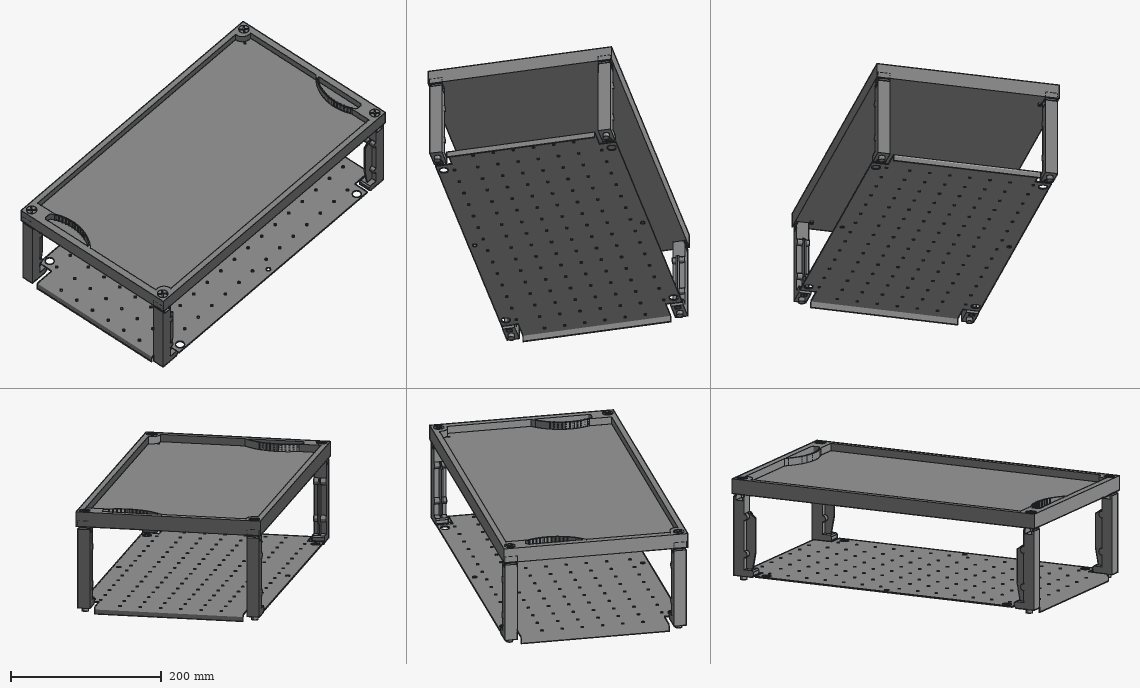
import cadquery as cq

LENGTH_X = 250.0
LENGTH_Y = 450.0
HEIGHT = 139.43

COVER_HEIGHT = 20.0
COVER_BOTTOM = HEIGHT - COVER_HEIGHT
RECESS_DEPTH = 10.0
RECESS_FLOOR = HEIGHT - RECESS_DEPTH
SIDE_RIM = 8.0
END_RIM = 9.5
END_LEDGE = 24.5
RECESS_X = LENGTH_X / 2 - SIDE_RIM
RECESS_Y = LENGTH_Y / 2 - END_RIM
LEDGE_Y = LENGTH_Y / 2 - END_LEDGE
SCREW_BLOCK_X = 103.5
SCREW_BLOCK_ROUND = 12.0

ARCH_X = 60.0
ARCH_LOW_Y = 194.9
ARCH_RADIUS = 69.0
ARCH_Y = ARCH_LOW_Y + ARCH_RADIUS
ARCH_WALL = 1.6
FINGER_LEFT = 16.5
FINGER_RIGHT = 92.0
FINGER_ROUND = 3.5
GRIP_RIB_RADIUS = 0.8
GRIP_RIB_COUNT = 11
GRIP_RIB_STEP = 4.5
GRIP_RIB_FIRST = -23.0

STUB_X = 103.7
STUB_Y = 203.7
STUB_DIAMETER = 4.6
STUB_BORE = 2.6
STUB_DROP = 2.8

SCREW_X = LENGTH_X / 2 - 10.0
SCREW_Y = LENGTH_Y / 2 - 10.0
SCREW_HEAD_DIAMETER = 14.0
SCREW_HEAD_HEIGHT = 4.0
SCREW_SHANK_DIAMETER = 4.0
SCREW_LENGTH = 22.7
CROSS_LENGTH = 11.0
CROSS_WIDTH = 1.7
CROSS_DEPTH = 2.0

POST_OUTER_X = 123.2
POST_INNER_X = 106.5
POST_OUTER_Y = 223.4
POST_INNER_Y = 208.0
POST_WIDTH_X = POST_OUTER_X - POST_INNER_X
POST_MID_X = (POST_OUTER_X + POST_INNER_X) / 2
POST_TOP = HEIGHT - 12.0
POST_BOTTOM = 7.7
NECK_INSET = 1.5
NECK_BOTTOM = 117.0
NECK_CHAMFER = 1.5
SLOT_WIDTH = 10.0
SLOT_BOTTOM = 110.7
FIN_THICKNESS = 2.0
FIN_INNER_Y = 194.6
FIN_SHOULDER_Z = 86.8
FIN_TAPER_Z = 41.0
FIN_FOOT_Y = 199.0
BUMP_RADIUS = 4.6
BUMP_UPPER_Z = 88.4
BUMP_LOWER_Z = 37.6
FOOT_INNER_Y = 194.2
FOOT_HEIGHT = 9.2
FOOT_TOP_CHAMFER = 2.0
FOOT_BOTTOM_CHAMFER = 2.5
PEG_Y = 212.5
PEG_DIAMETER = 8.8
PEG_BOTTOM = 1.9
NUB_WIDTH = 8.0
NUB_LENGTH = 5.0
NUB_Y = 200.5
NUB_HEIGHT = 1.2

PLATE_THICKNESS = 1.5
PLATE_BOTTOM = 8.4
PLATE_TOP = PLATE_BOTTOM + PLATE_THICKNESS
PLATE_HALF_X = 123.0
PLATE_SHOULDER_Y = 191.0
TONGUE_HALF_X = 100.7
LIP_OUTER_Y = 221.0
BEND_RADIUS = 4.0
HOLE_DIAMETER = 3.5
HOLE_PITCH = 27.5
GRID_SHIFT_Y = -2.3
HOLE_ROWS = 16
HOLE_COLUMNS = 6
EDGE_HOLE_X = 100.5
EDGE_HOLE_ROWS = 14
CORNER_HOLE_X = 114.5
CORNER_HOLE_Y = 179.0
CORNER_HOLE_DIAMETER = 12.0
MIDDLE_HOLE_DIAMETER = 6.0

CORNERS = [(sx, sy) for sx in (-1, 1) for sy in (-1, 1)]


def box(x0, x1, y0, y1, z0, z1):
    """Box between two corners."""
    return cq.Workplane("XY").box(x1 - x0, y1 - y0, z1 - z0, centered=False).translate((x0, y0, z0))


def cylinder(x, y, z0, z1, diameter):
    """Upright cylinder between two heights."""
    return cq.Workplane("XY", origin=(x, y, z0)).circle(diameter / 2).extrude(z1 - z0)


def half_turn(shape):
    """The same shape at the opposite end of the cover."""
    return shape.rotate((0, 0, 0), (0, 0, 1), 180)


def at_corner(shape, sx, sy):
    """Mirror a shape made for the +X, +Y corner into another corner."""
    if sx < 0:
        shape = shape.mirror("YZ")
    if sy < 0:
        shape = shape.mirror("XZ")
    return shape


def arch_disc(radius):
    return cylinder(ARCH_X, ARCH_Y, RECESS_FLOOR, HEIGHT, 2 * radius)


def end_rim():
    """What stays standing in the recess at the +Y end: screw block, ledge and arched wall."""
    block = box(-RECESS_X, -SCREW_BLOCK_X, LEDGE_Y, RECESS_Y, RECESS_FLOOR, HEIGHT)
    block = block.edges("|Z and >X and <Y").fillet(SCREW_BLOCK_ROUND)
    ledge = box(ARCH_X, RECESS_X, LEDGE_Y, RECESS_Y, RECESS_FLOOR, HEIGHT)
    end_strip = box(-RECESS_X, RECESS_X, 0, RECESS_Y, RECESS_FLOOR, HEIGHT)
    arch = arch_disc(ARCH_RADIUS).intersect(end_strip)
    return block.union(ledge).union(arch)


def finger_pocket():
    strip = box(FINGER_LEFT, FINGER_RIGHT, 0, RECESS_Y, RECESS_FLOOR, HEIGHT)
    pocket = strip.intersect(arch_disc(ARCH_RADIUS - ARCH_WALL))
    pocket = pocket.edges("|Z and >X").fillet(FINGER_ROUND)
    arch_axis = (ARCH_X, ARCH_Y, 0)
    for index in range(GRIP_RIB_COUNT):
        rib = cylinder(ARCH_X, ARCH_LOW_Y + ARCH_WALL, RECESS_FLOOR, HEIGHT, 2 * GRIP_RIB_RADIUS)
        angle = GRIP_RIB_FIRST + index * GRIP_RIB_STEP
        pocket = pocket.cut(rib.rotate(arch_axis, (ARCH_X, ARCH_Y, 1), angle))
    return pocket


def make_cover():
    cover = box(-LENGTH_X / 2, LENGTH_X / 2, -LENGTH_Y / 2, LENGTH_Y / 2, COVER_BOTTOM, HEIGHT)
    recess = box(-RECESS_X, RECESS_X, -RECESS_Y, RECESS_Y, RECESS_FLOOR, HEIGHT)
    rim = end_rim()
    cover = cover.cut(recess.cut(rim).cut(half_turn(rim)))
    stub = cylinder(-STUB_X, STUB_Y, COVER_BOTTOM - STUB_DROP, COVER_BOTTOM, STUB_DIAMETER)
    bore = cylinder(-STUB_X, STUB_Y, COVER_BOTTOM - STUB_DROP, RECESS_FLOOR, STUB_BORE)
    pocket = finger_pocket()
    for feature in (stub, half_turn(stub)):
        cover = cover.union(feature)
    for feature in (bore, half_turn(bore), pocket, half_turn(pocket)):
        cover = cover.cut(feature)
    post_pocket = box(POST_INNER_X, POST_OUTER_X, POST_INNER_Y, POST_OUTER_Y, COVER_BOTTOM, POST_TOP)
    for sx, sy in CORNERS:
        cover = cover.cut(at_corner(post_pocket, sx, sy))
        cover = cover.cut(screw_envelope(sx * SCREW_X, sy * SCREW_Y))
    return cover


def screw_envelope(x, y):
    """Head and shank without the cross recess."""
    shank = cylinder(x, y, HEIGHT - SCREW_LENGTH, HEIGHT, SCREW_SHANK_DIAMETER)
    return shank.union(cylinder(x, y, HEIGHT - SCREW_HEAD_HEIGHT, HEIGHT, SCREW_HEAD_DIAMETER))


def make_screw(x, y):
    screw = screw_envelope(x, y)
    for angle in (45, 135):
        bar = cq.Workplane("XY").box(CROSS_LENGTH, CROSS_WIDTH, CROSS_DEPTH)
        bar = bar.rotate((0, 0, 0), (0, 0, 1), angle)
        screw = screw.cut(bar.translate((x, y, HEIGHT - CROSS_DEPTH / 2)))
    return screw


def post_neck_cut():
    """Groove in the two outer faces, just below the cover."""
    around = box(POST_INNER_X, POST_OUTER_X, POST_INNER_Y, POST_OUTER_Y,
                 NECK_BOTTOM - NECK_CHAMFER, COVER_BOTTOM)
    neck = box(POST_INNER_X, POST_OUTER_X - NECK_INSET, POST_INNER_Y, POST_OUTER_Y - NECK_INSET,
               NECK_BOTTOM, COVER_BOTTOM)
    lower = box(POST_INNER_X, POST_OUTER_X, POST_INNER_Y, POST_OUTER_Y, POST_BOTTOM, NECK_BOTTOM)
    lower = lower.edges(">Z and (>X or >Y)").chamfer(NECK_CHAMFER)
    return around.cut(neck).cut(lower)


def make_post():
    """Post for the +X, +Y corner."""
    post = box(POST_INNER_X, POST_OUTER_X, POST_INNER_Y, POST_OUTER_Y, POST_BOTTOM, POST_TOP)
    post = post.cut(post_neck_cut())

    foot_top = POST_BOTTOM + FOOT_HEIGHT
    foot = box(POST_INNER_X, POST_OUTER_X, FOOT_INNER_Y, POST_INNER_Y, POST_BOTTOM, foot_top)
    foot = foot.edges(">Z and <Y").chamfer(FOOT_TOP_CHAMFER)
    foot = foot.edges("<Z and <Y").chamfer(FOOT_BOTTOM_CHAMFER)
    post = post.union(foot)

    fin_outline = [
        (POST_INNER_Y, foot_top),
        (FIN_FOOT_Y, foot_top),
        (FIN_INNER_Y, FIN_TAPER_Z),
        (FIN_INNER_Y, FIN_SHOULDER_Z),
        (POST_INNER_Y - BUMP_RADIUS, BUMP_UPPER_Z + BUMP_RADIUS),
        (POST_INNER_Y, BUMP_UPPER_Z + BUMP_RADIUS),
    ]
    fin = cq.Workplane("YZ", origin=(POST_MID_X - FIN_THICKNESS / 2, 0, 0))
    post = post.union(fin.polyline(fin_outline).close().extrude(FIN_THICKNESS))

    for bump_z in (BUMP_UPPER_Z, BUMP_LOWER_Z):
        bump = cq.Workplane("YZ", origin=(POST_INNER_X, POST_INNER_Y, bump_z))
        post = post.union(bump.circle(BUMP_RADIUS).extrude(POST_WIDTH_X))

    slot = box(POST_INNER_X, POST_OUTER_X, SCREW_Y - SLOT_WIDTH / 2, SCREW_Y + SLOT_WIDTH / 2,
               SLOT_BOTTOM, COVER_BOTTOM)
    post = post.cut(slot).cut(screw_envelope(SCREW_X, SCREW_Y))

    post = post.union(cylinder(SCREW_X, PEG_Y, PEG_BOTTOM, POST_BOTTOM, PEG_DIAMETER))
    nub = box(SCREW_X - NUB_WIDTH / 2, SCREW_X + NUB_WIDTH / 2, NUB_Y - NUB_LENGTH / 2,
              NUB_Y + NUB_LENGTH / 2, POST_BOTTOM - NUB_HEIGHT, POST_BOTTOM)
    return post.union(nub)


def hole_pattern(pitch_x, pitch_y, columns, rows, diameter, middle_y=0):
    """Cutters for a grid of round holes through the plate."""
    pattern = cq.Workplane("XY", origin=(0, middle_y, PLATE_BOTTOM))
    pattern = pattern.rarray(pitch_x, pitch_y, columns, rows)
    return pattern.circle(diameter / 2).extrude(PLATE_THICKNESS)


def make_plate():
    tongue = box(-TONGUE_HALF_X, TONGUE_HALF_X, -LIP_OUTER_Y, LIP_OUTER_Y, 0, PLATE_TOP)
    tongue = tongue.edges("|X and >Z").fillet(BEND_RADIUS)
    inner_y = LIP_OUTER_Y - PLATE_THICKNESS
    inside = box(-TONGUE_HALF_X, TONGUE_HALF_X, -inner_y, inner_y, 0, PLATE_BOTTOM)
    inside = inside.edges("|X and >Z").fillet(BEND_RADIUS - PLATE_THICKNESS)
    plate = tongue.cut(inside)
    plate = plate.union(box(-PLATE_HALF_X, PLATE_HALF_X, -PLATE_SHOULDER_Y, PLATE_SHOULDER_Y,
                            PLATE_BOTTOM, PLATE_TOP))

    grid = hole_pattern(HOLE_PITCH, HOLE_PITCH, HOLE_COLUMNS, HOLE_ROWS, HOLE_DIAMETER, GRID_SHIFT_Y)
    edge = hole_pattern(2 * EDGE_HOLE_X, HOLE_PITCH, 2, EDGE_HOLE_ROWS, HOLE_DIAMETER, GRID_SHIFT_Y)
    corners = hole_pattern(2 * CORNER_HOLE_X, 2 * CORNER_HOLE_Y, 2, 2, CORNER_HOLE_DIAMETER)
    middles = hole_pattern(2 * CORNER_HOLE_X, 1, 2, 1, MIDDLE_HOLE_DIAMETER)
    for holes in (grid, edge, corners, middles):
        plate = plate.cut(holes)
    return plate


cover = make_cover()
plate = make_plate()
screws = [make_screw(sx * SCREW_X, sy * SCREW_Y) for sx, sy in CORNERS]
corner_post = make_post()
posts = [at_corner(corner_post, sx, sy) for sx, sy in CORNERS]

result = cq.Compound.makeCompound(
    [cover.val(), plate.val()] + [body.val() for body in screws + posts]
)